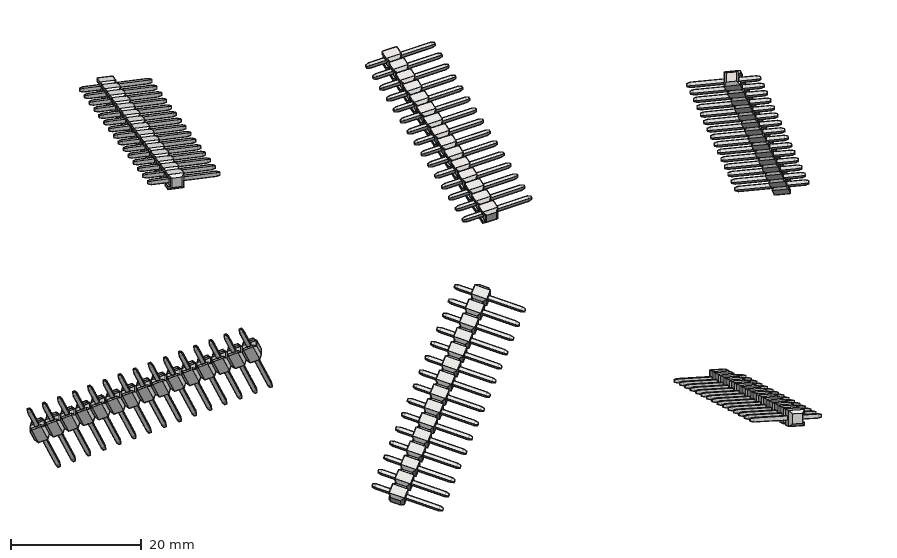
import cadquery as cq

pin_count = 15
row_length = 38.1
pitch = row_length / pin_count

block_depth = pitch
block_height = 2.5
crown_width = 1.6
block_bevel = (pitch - crown_width) / 2

groove_depth = 0.325
groove_height = 1.4

pin_length = 11.55
pin_width = pitch / 4
front_pin_reach = (pin_length - block_depth) / 3
tip_length = 0.55
tip_inset = 0.125

pin_front_y = -pin_length / 2
housing_front_y = pin_front_y + front_pin_reach
housing_centre_y = housing_front_y + block_depth / 2


def make_block():
    """Block with all four edges of both its left and right sides bevelled."""
    block = cq.Workplane("XY").box(pitch, block_depth, block_height)
    block = block.faces("<X or >X").edges().chamfer(block_bevel)
    return block.translate((0, housing_centre_y, 0))


def make_groove_cutter():
    """Bar that hollows the front of the whole row, straddling the front face."""
    bar = cq.Workplane("XY").box(row_length, 2 * groove_depth, groove_height)
    return bar.translate((0, housing_front_y, 0))


def make_tip(outward):
    """Tapered pin end; outward is -1 for the front end and 1 for the rear end."""
    tip_width = pin_width - 2 * tip_inset
    shoulder_y = outward * (pin_length / 2 - tip_length)
    shoulder = cq.Plane(origin=(0, shoulder_y, 0), xDir=(1, 0, 0), normal=(0, outward, 0))
    return (
        cq.Workplane(shoulder)
        .rect(pin_width, pin_width)
        .workplane(offset=tip_length)
        .rect(tip_width, tip_width)
        .loft(ruled=True)
    )


def make_pin():
    """Square pin, tapered at both ends."""
    shank = cq.Workplane("XY").box(pin_width, pin_length - 2 * tip_length, pin_width)
    return shank.union(make_tip(-1)).union(make_tip(1))


pin_places = [((i - (pin_count - 1) / 2) * pitch, 0, 0) for i in range(pin_count)]
block = make_block()
pin = make_pin()

housing = block.translate(pin_places[0])
for place in pin_places[1:]:
    housing = housing.union(block.translate(place))

result = housing.cut(make_groove_cutter())
for place in pin_places:
    result = result.union(pin.translate(place))